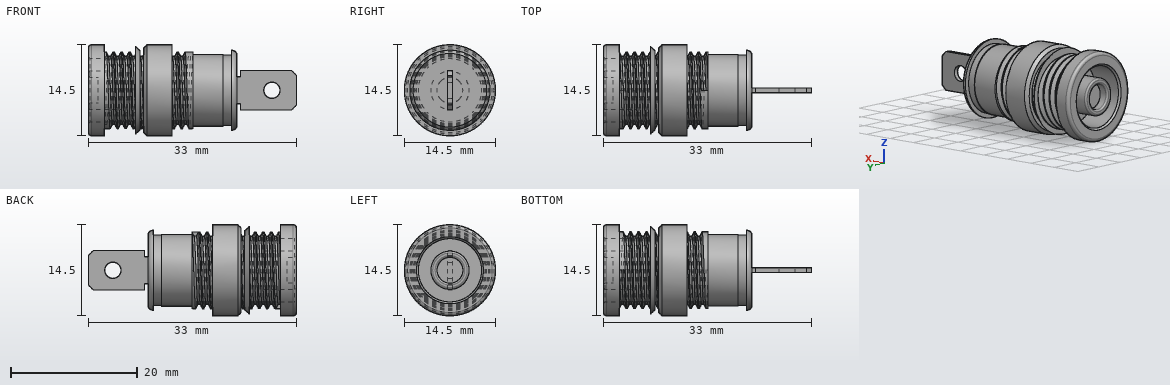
import cadquery as cq

total_length = 33.0
head_end = 2.55
washer_start = 7.45
washer_end = 8.22
nut_start = 8.78
nut_end = 13.3
thread_body_end = 16.6
barrel_end = 21.4
flange_start = 22.67
flange_end = 23.53
tab_start = 24.1

head_radius = 7.245
head_fillet = 0.53
washer_front_radius = 6.95
washer_rear_radius = 6.27
nut_radius = head_radius
nut_chamfer = 0.53
barrel_radius = 5.7
neck_radius = 5.6
flange_radius = 6.37
flange_rear_radius = 5.85

thread_radius = 6.1
thread_root_radius = 5.4
thread_pitch = 1.27
thread_turns = 10.5
groove_end = 16.07
groove_root_width = 0.35
groove_mouth_width = 1.1
groove_overcut = 0.15

socket_radius = 5.0
socket_depth = 5.28
socket_rim = 0.3
pin_radius = 3.05
bore_radius = 2.05
bore_depth = 1.52
pin_rim = 0.3

tab_thickness = 0.8
tab_width = 6.27
tab_neck_width = 4.3
tab_chamfer = 0.8
tab_hole_diameter = 2.55
tab_hole_x = 29.1


def cylinder(start, end, radius):
    """Solid cylinder around the X axis between two stations."""
    return cq.Workplane("YZ").workplane(offset=start).circle(radius).extrude(end - start)


def thread_groove():
    """Trapezoidal groove swept along a helix around the X axis."""
    length = thread_pitch * thread_turns
    helix = cq.Wire.makeHelix(thread_pitch, length, thread_root_radius)
    slope = (groove_mouth_width - groove_root_width) / 2 / (thread_radius - thread_root_radius)
    half_root = groove_root_width / 2
    half_outer = groove_mouth_width / 2 + slope * groove_overcut
    outer_radius = thread_radius + groove_overcut
    profile = cq.Workplane("XZ").polyline([
        (thread_root_radius, -half_root),
        (outer_radius, -half_outer),
        (outer_radius, half_outer),
        (thread_root_radius, half_root),
    ]).close()
    groove = profile.sweep(cq.Workplane(obj=helix), isFrenet=True)
    groove = groove.rotate((0, 0, 0), (0, 1, 0), 90)
    return groove.translate((groove_end - length, 0, 0))


def threaded_body():
    core_start = head_end / 2
    return cylinder(core_start, thread_body_end, thread_radius).cut(thread_groove())


def head():
    return cylinder(0, head_end, head_radius).faces("<X").edges().fillet(head_fillet)


def washer():
    """Washer with a flat front face and a rim tapering towards the rear."""
    outline = cq.Workplane("XY").polyline([
        (washer_start, 0),
        (washer_start, washer_front_radius),
        (washer_end, washer_rear_radius),
        (washer_end, 0),
    ]).close()
    return outline.revolve(360, (0, 0, 0), (1, 0, 0))


def nut():
    return cylinder(nut_start, nut_end, nut_radius).faces("<X").edges().chamfer(nut_chamfer)


def flange():
    """Disc whose rim curves inward from front to rear along an arc tangent to X."""
    thickness = flange_end - flange_start
    drop = flange_radius - flange_rear_radius
    arc_radius = (thickness**2 + drop**2) / (2 * drop)
    rim_middle_x = flange_start + thickness / 2
    rim_middle_radius = flange_radius - arc_radius + (arc_radius**2 - (thickness / 2)**2) ** 0.5
    outline = (
        cq.Workplane("XY")
        .moveTo(flange_start, 0)
        .lineTo(flange_start, flange_radius)
        .threePointArc((rim_middle_x, rim_middle_radius), (flange_end, flange_rear_radius))
        .lineTo(flange_end, 0)
        .close()
    )
    return outline.revolve(360, (0, 0, 0), (1, 0, 0))


def rear_barrel():
    barrel = cylinder(thread_body_end, barrel_end, barrel_radius)
    neck = cylinder(barrel_end, flange_start, neck_radius)
    return barrel.union(neck).union(flange())


def socket():
    cavity = cylinder(0, socket_depth, socket_radius)
    mouth_radius = socket_radius + socket_rim
    rim = cq.Solid.makeCone(mouth_radius, socket_radius, socket_rim, dir=cq.Vector(1, 0, 0))
    return cavity.union(cq.Workplane(obj=rim))


def contact_pin():
    pin = cylinder(0, socket_depth, pin_radius)
    pin = pin.cut(cylinder(0, bore_depth, bore_radius))
    return pin.faces("<X").edges().fillet(pin_rim)


def solder_tab():
    blade_length = total_length - tab_start
    blade = cq.Workplane("XY").box(blade_length, tab_thickness, tab_width)
    blade = blade.edges(">X and |Y").chamfer(tab_chamfer)
    blade = blade.translate((tab_start + blade_length / 2, 0, 0))
    neck_length = tab_start - flange_start
    neck = cq.Workplane("XY").box(neck_length, tab_thickness, tab_neck_width)
    neck = neck.translate((flange_start + neck_length / 2, 0, 0))
    hole = (
        cq.Workplane("XZ")
        .center(tab_hole_x, 0)
        .circle(tab_hole_diameter / 2)
        .extrude(tab_thickness, both=True)
    )
    return blade.union(neck).cut(hole)


body = threaded_body()
for section in (head(), washer(), nut(), rear_barrel()):
    body = body.union(section)

result = body.cut(socket()).union(contact_pin()).union(solder_tab())